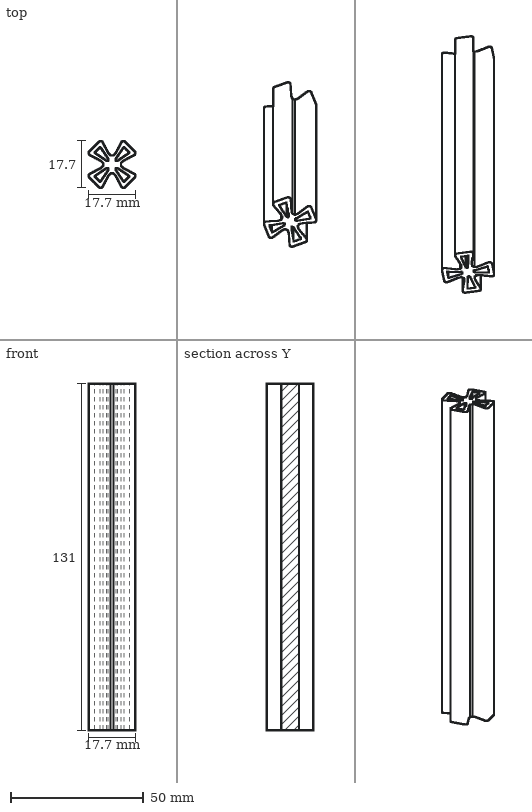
import cadquery as cq
import math

length = 131.0
width = 17.7

core_half = 3.4
throat_half = 1.3
tip_radius = 0.98
tip_offset = 4.3
flank_angle = math.radians(27.5)

hollow_near = 1.5
hollow_shoulder = 2.1
hollow_far_short = 4.5
hollow_far_long = 6.5

tip_height = width / 2 - tip_radius
diagonal_reach = tip_radius / math.sqrt(2)
flank_start = (
    tip_offset - tip_radius * math.cos(flank_angle),
    tip_height + tip_radius * math.sin(flank_angle),
)
tip_top = (tip_offset, width / 2)
end_start = (tip_offset + diagonal_reach, tip_height + diagonal_reach)

throat = (throat_half, flank_start[1] - (flank_start[0] - throat_half) / math.tan(flank_angle))
floor_edge = (throat_half - (throat[1] - core_half), core_half)


def mirrored(point):
    """Swap X and Y: reflect a point across the arm's diagonal."""
    return (point[1], point[0])


def make_arm():
    """Solid arm in the +X +Y quadrant, closed at the axis of the profile."""
    return (
        cq.Workplane("XY")
        .moveTo(0, 0)
        .lineTo(0, core_half)
        .lineTo(*floor_edge)
        .lineTo(*throat)
        .lineTo(*flank_start)
        .threePointArc(tip_top, end_start)
        .lineTo(*mirrored(end_start))
        .threePointArc(mirrored(tip_top), mirrored(flank_start))
        .lineTo(*mirrored(throat))
        .lineTo(*mirrored(floor_edge))
        .lineTo(core_half, 0)
        .close()
        .extrude(length)
    )


def make_hollow():
    """Flaring hollow that runs the full length of one arm."""
    shoulder = (hollow_near, hollow_shoulder)
    far_corner = (hollow_far_short, hollow_far_long)
    outline = [
        (hollow_near, hollow_near),
        shoulder,
        far_corner,
        mirrored(far_corner),
        mirrored(shoulder),
    ]
    return cq.Workplane("XY").polyline(outline).close().extrude(length)


arm_count = 4
arm = make_arm().cut(make_hollow())
result = arm
for index in range(1, arm_count):
    turned_arm = arm.rotate((0, 0, 0), (0, 0, 1), index * 360 / arm_count)
    result = result.union(turned_arm)
result = result.clean()